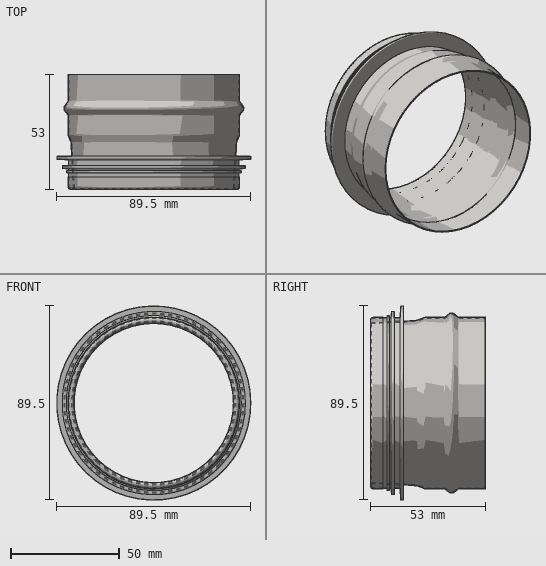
import cadquery as cq
import math


length = 53.0
wall = 0.49
sleeve_radius = 79.1 / 2

bead_y = 37.5
bead_radius = 41.5
bead_angle = math.radians(38)
bead_crown_bend = 1.9
bead_foot_bend = 0.8

shoulder_y = 25.5
shoulder_angle = math.radians(22)
shoulder_top_bend = 2.15
shoulder_foot_bend = 0.9

neck_rear_bore = 75.4 / 2
neck_mid_bore = 74.2 / 2
neck_mid_y = 9.9
lip_bore = 73.3 / 2
lip_bend = (sleeve_radius - lip_bore) / 2
lip_radius = lip_bore + lip_bend
collar_end_y = 5.8

gasket_radius = 39.4
large_fin_radius = 89.45 / 2
large_fin_rear_y = 15.4
large_fin_width = 1.7
large_fin_tip_width = 1.4
small_fin_radius = 84.4 / 2
small_fin_rear_y = 11.1
small_fin_width = 1.6
small_fin_tip_width = 1.3
fin_tip_round = 0.4
ridge_radius = 40.3
ridge_rear_y = 8.9
ridge_width = 1.25


def s_bend_run(rise, angle, top_bend, foot_bend):
    """Axial length of an S-bend made of two arcs joined by a straight flank."""
    bends = top_bend + foot_bend
    flank_rise = rise - bends * (1 - math.cos(angle))
    return bends * math.sin(angle) + flank_rise / math.tan(angle)


def s_bend(top, foot, direction, angle, top_bend, foot_bend, inset):
    """Arc points from the top of an S-bend to its foot, inset inward by the given depth.

    The direction is +1 or -1, the sign of Y when going from the top to the foot.
    """
    top_arc = []
    foot_arc = []
    for turn in (0, angle / 2, angle):
        top_bend_inset = top_bend - inset
        top_arc.append((
            top[0] - top_bend + top_bend_inset * math.cos(turn),
            top[1] + direction * top_bend_inset * math.sin(turn),
        ))
        foot_bend_inset = foot_bend + inset
        foot_arc.append((
            foot[0] + foot_bend - foot_bend_inset * math.cos(turn),
            foot[1] - direction * foot_bend_inset * math.sin(turn),
        ))
    return top_arc, foot_arc[::-1]


bead_run = s_bend_run(bead_radius - sleeve_radius, bead_angle, bead_crown_bend, bead_foot_bend)
neck_rear_radius = neck_rear_bore + wall
shoulder_run = s_bend_run(
    sleeve_radius - neck_rear_radius, shoulder_angle, shoulder_top_bend, shoulder_foot_bend
)
neck_rear_y = shoulder_y - shoulder_run


def formed_arcs(inset):
    """Arcs of the bead and shoulder, ordered from the rear end to the neck."""
    bead_top = (bead_radius, bead_y)
    bead_arcs = []
    for side in (1, -1):
        bead_foot = (sleeve_radius, bead_y + side * bead_run)
        bead_arcs.append(s_bend(
            bead_top, bead_foot, side, bead_angle, bead_crown_bend, bead_foot_bend, inset
        ))
    rear_crown, rear_foot = bead_arcs[0]
    front_crown, front_foot = bead_arcs[1]
    crown = [rear_crown[-1], rear_crown[0], front_crown[-1]]
    shoulder_top, shoulder_foot = s_bend(
        (sleeve_radius, shoulder_y), (neck_rear_radius, neck_rear_y), -1,
        shoulder_angle, shoulder_top_bend, shoulder_foot_bend, inset,
    )
    return [rear_foot[::-1], crown, front_foot, shoulder_top, shoulder_foot]


def add_arcs(profile, arcs):
    """Append arcs to a profile, each reached by a straight line."""
    for start, middle, end in arcs:
        profile = profile.lineTo(*start).threePointArc(middle, end)
    return profile


def revolve_about_y(profile):
    return profile.close().revolve(360, (0, 0, 0), (0, 1, 0))


def make_sleeve():
    outer_arcs = formed_arcs(0)
    inner_arcs = [arc[::-1] for arc in formed_arcs(wall)[::-1]]
    profile = cq.Workplane("XY").moveTo(sleeve_radius, length)
    profile = add_arcs(profile, outer_arcs)
    profile = (
        profile
        .lineTo(neck_mid_bore + wall, neck_mid_y)
        .lineTo(lip_bore + wall, lip_bend)
        .threePointArc((lip_radius, wall), (sleeve_radius - wall, lip_bend))
        .lineTo(sleeve_radius - wall, collar_end_y)
        .lineTo(sleeve_radius, collar_end_y)
        .lineTo(sleeve_radius, lip_bend)
        .threePointArc((lip_radius, 0), (lip_bore, lip_bend))
        .lineTo(neck_mid_bore, neck_mid_y)
    )
    profile = add_arcs(profile, inner_arcs).lineTo(sleeve_radius - wall, length)
    return revolve_about_y(profile)


def neck_outer_radius(y):
    """Outer radius of the two-cone neck at a given y."""
    if y > neck_mid_y:
        fraction = (y - neck_mid_y) / (neck_rear_y - neck_mid_y)
        return neck_mid_bore + wall + fraction * (neck_rear_bore - neck_mid_bore)
    fraction = (y - lip_bend) / (neck_mid_y - lip_bend)
    return lip_bore + wall + fraction * (neck_mid_bore - lip_bore)


def add_fin(profile, radius, rear_y, width, tip_width):
    """Append a fin with a tapered front face and rounded tip corners, going from rear to front."""
    shoulder_radius = radius - fin_tip_round
    tip_front_y = rear_y - tip_width
    return (
        profile
        .lineTo(shoulder_radius, rear_y)
        .radiusArc((radius, rear_y - fin_tip_round), fin_tip_round)
        .lineTo(radius, tip_front_y + fin_tip_round)
        .radiusArc((shoulder_radius, tip_front_y), fin_tip_round)
        .lineTo(gasket_radius, rear_y - width)
    )


def make_gasket():
    profile = cq.Workplane("XY").moveTo(neck_outer_radius(large_fin_rear_y), large_fin_rear_y)
    profile = add_fin(profile, large_fin_radius, large_fin_rear_y,
                      large_fin_width, large_fin_tip_width)
    profile = profile.lineTo(gasket_radius, small_fin_rear_y)
    profile = add_fin(profile, small_fin_radius, small_fin_rear_y,
                      small_fin_width, small_fin_tip_width)
    ridge_round = ridge_width / 2
    ridge_front_y = ridge_rear_y - ridge_width
    profile = (
        profile
        .lineTo(gasket_radius, ridge_rear_y)
        .lineTo(ridge_radius - ridge_round, ridge_rear_y)
        .threePointArc(
            (ridge_radius, ridge_rear_y - ridge_round),
            (ridge_radius - ridge_round, ridge_front_y),
        )
        .lineTo(gasket_radius, ridge_front_y)
        .lineTo(gasket_radius, collar_end_y)
        .lineTo(neck_outer_radius(collar_end_y), collar_end_y)
        .lineTo(neck_outer_radius(neck_mid_y), neck_mid_y)
    )
    return revolve_about_y(profile)


sleeve = make_sleeve()
gasket = make_gasket()
result = cq.Compound.makeCompound([sleeve.val(), gasket.val()])